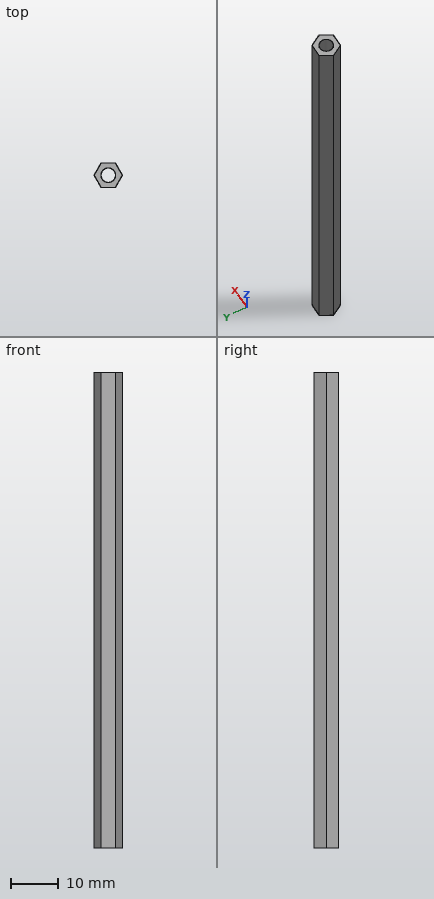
import cadquery as cq

length = 100.0
across_corners = 6.0
bore_diameter = 3.0

hex_bar = cq.Workplane("XY").polygon(6, across_corners).extrude(length)

result = hex_bar.faces(">Z").workplane().hole(bore_diameter)